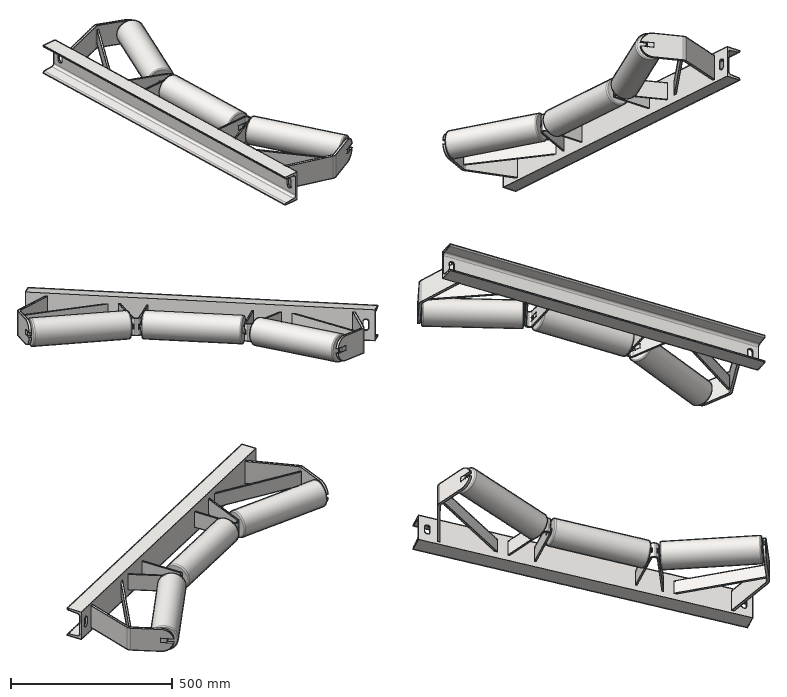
import cadquery as cq
import math


channel_length = 1100.0
channel_height = 100.0
channel_depth = 50.0
web_thickness = 6.0
flange_thickness = 8.5
flange_slope = 0.08
root_radius = 8.5
toe_radius = 4.25
mount_slot_x = 521.0
mount_slot_width = 18.0
mount_slot_length = 36.0

roller_diameter = 89.0
roller_length = 315.0
roller_edge_radius = 4.0
shaft_diameter = 25.0
tongue_width = 15.0
tongue_height = 20.0
trough_angle = 25.0
center_axis_y = 167.0
wing_center = (345.2, 242.9)

outer_width = 80.0
inner_width = 56.0
center_offset = 163.5
wing_offset = 162.2
inner_thickness = 5.0
inner_fold_y = 197.0
inner_fold_radius = 12.0
outer_thickness = 8.0
elbow_y = 215.0
tip_drop = 8.0
elbow_radius = 18.0
outer_foot_x = 484.0

center_far = center_offset + inner_thickness
wing_inner_far = wing_offset + inner_thickness
wing_outer_far = wing_offset + outer_thickness

brace_thickness = 6.0
brace_width = 50.0
brace_foot_x = 295.0
brace_lift = 7.0

web_face_y = channel_depth
trough = math.radians(trough_angle)
axis_dir = (math.cos(trough), math.sin(trough))
rise_dir = (-math.sin(trough), math.cos(trough))
slot_height = roller_diameter


def wing_point(along, across):
    """Point given by its distance along and across the right wing roller's axis."""
    return (
        wing_center[0] + along * axis_dir[0] + across * rise_dir[0],
        wing_center[1] + along * axis_dir[1] + across * rise_dir[1],
    )


def meet(p, p_dir, q, q_dir):
    """Crossing point of the line through p along p_dir and the line through q along q_dir."""
    cross = p_dir[0] * q_dir[1] - p_dir[1] * q_dir[0]
    t = ((q[0] - p[0]) * q_dir[1] - (q[1] - p[1]) * q_dir[0]) / cross
    return (p[0] + t * p_dir[0], p[1] + t * p_dir[1])


def at_height(p, p_dir, y):
    """Point at height y on the line through p along p_dir."""
    return meet(p, p_dir, (0, y), (1, 0))


def plate(outline, width):
    """Extrude an XY outline over the given width, centred on Z = 0."""
    return cq.Workplane("XY").workplane(offset=-width / 2).polyline(outline).close().extrude(width)


def on_wing(body):
    """Move a body built about the X axis at the origin onto the right wing roller axis."""
    return body.rotate((0, 0, 0), (0, 0, 1), trough_angle).translate((*wing_center, 0))


def round_bend(body, x, y, radius):
    """Round the bend edge that runs along Z through (x, y)."""
    return body.edges(cq.selectors.NearestToPointSelector((x, y, 0))).fillet(radius)


def both_sides(body):
    """The right-hand body and its mirror image on the left."""
    return [body.val(), body.mirror("YZ").val()]


def tongue_slot(start, end):
    """Open-topped slot along X that seats a shaft tongue and runs out towards +Y."""
    depth = tongue_height / 2 + slot_height
    return (
        cq.Workplane("YZ").workplane(offset=start)
        .center(depth / 2 - tongue_height / 2, 0).rect(depth, tongue_width).extrude(end - start)
    )


def make_channel():
    """Channel with tapered flanges pointing to -Y and a mounting slot near each end of the web."""
    half = channel_height / 2
    mid_flange = channel_depth / 2
    tip_z = half - flange_thickness + mid_flange * flange_slope
    web_inner_y = channel_depth - web_thickness
    root_z = tip_z - web_inner_y * flange_slope
    profile = [
        (0, half), (channel_depth, half), (channel_depth, -half), (0, -half),
        (0, -tip_z), (web_inner_y, -root_z), (web_inner_y, root_z), (0, tip_z),
    ]
    body = (
        cq.Workplane("YZ").workplane(offset=-channel_length / 2)
        .polyline(profile).close().extrude(channel_length)
    )
    for side in (1, -1):
        root = cq.selectors.NearestToPointSelector((0, web_inner_y, side * root_z))
        body = body.edges(root).fillet(root_radius)
        toe = cq.selectors.NearestToPointSelector((0, 0, side * tip_z))
        body = body.edges(toe).fillet(toe_radius)
    slots = (
        cq.Workplane("XZ").pushPoints([(-mount_slot_x, 0), (mount_slot_x, 0)])
        .slot2D(mount_slot_length, mount_slot_width, 90).extrude(-channel_depth)
    )
    return body.cut(slots)


def make_roller(left_face, left_end, right_face, right_end):
    """Roller about the X axis; its shaft narrows to a tongue at each plate face."""
    shell = (
        cq.Workplane("YZ").workplane(offset=-roller_length / 2)
        .circle(roller_diameter / 2).extrude(roller_length)
        .faces("<X or >X").edges().fillet(roller_edge_radius)
    )
    shaft = (
        cq.Workplane("YZ").workplane(offset=left_face)
        .circle(shaft_diameter / 2).extrude(right_face - left_face)
    )
    tongues = (
        cq.Workplane("YZ").workplane(offset=left_end)
        .rect(tongue_height, tongue_width).extrude(right_end - left_end)
    )
    return shell.union(shaft).union(tongues)


def make_inner_bracket():
    """Folded sheet between the centre roller and the right wing roller."""
    near = wing_point(-wing_offset, 0)
    far = wing_point(-wing_inner_far, 0)
    under_fold_y = inner_fold_y - inner_thickness
    wing_corner = at_height(near, rise_dir, inner_fold_y)
    under_corner = at_height(far, rise_dir, under_fold_y)
    outline = [
        (center_offset, web_face_y), (center_offset, inner_fold_y), wing_corner,
        at_height(near, rise_dir, web_face_y), at_height(far, rise_dir, web_face_y),
        under_corner, (center_far, under_fold_y), (center_far, web_face_y),
    ]
    body = plate(outline, inner_width)
    under_radius = inner_fold_radius - inner_thickness
    body = round_bend(body, center_offset, inner_fold_y, inner_fold_radius)
    body = round_bend(body, *wing_corner, inner_fold_radius)
    body = round_bend(body, center_far, under_fold_y, under_radius)
    body = round_bend(body, *under_corner, under_radius)
    center_slot = tongue_slot(center_offset, center_far).translate((0, center_axis_y, 0))
    wing_slot = on_wing(tongue_slot(-wing_inner_far, -wing_offset))
    return body.cut(center_slot).cut(wing_slot)


elbow = at_height(wing_point((wing_offset + wing_outer_far) / 2, 0), rise_dir, elbow_y)
leg_vector = (outer_foot_x - elbow[0], web_face_y - elbow[1])
leg_size = math.hypot(*leg_vector)
leg_dir = (leg_vector[0] / leg_size, leg_vector[1] / leg_size)
leg_foot_half = outer_thickness / 2 / abs(leg_dir[1])
leg_inner_foot = (outer_foot_x - leg_foot_half, web_face_y)
leg_outer_foot = (outer_foot_x + leg_foot_half, web_face_y)
elbow_inner = meet(leg_inner_foot, leg_dir, wing_point(wing_offset, 0), rise_dir)
elbow_outer = meet(leg_outer_foot, leg_dir, wing_point(wing_outer_far, 0), rise_dir)


def make_outer_bracket():
    """Bent plate that carries the outer end of the right wing roller."""
    tip_radius = outer_width / 2
    tip = tip_radius - tip_drop
    outline = [
        leg_inner_foot, elbow_inner, wing_point(wing_offset, tip),
        wing_point(wing_outer_far, tip), elbow_outer, leg_outer_foot,
    ]
    body = plate(outline, outer_width)
    body = round_bend(body, *elbow_outer, elbow_radius)
    body = round_bend(body, *elbow_inner, elbow_radius - outer_thickness)
    reach = channel_length
    below_tip = cq.Workplane("XY").box(reach, reach, outer_width)
    below_tip = below_tip.translate((0, -reach / 2 - tip_drop, 0))
    round_tip = cq.Workplane("YZ").center(-tip_drop, 0).circle(tip_radius).extrude(reach / 2, both=True)
    body = body.intersect(on_wing(below_tip.union(round_tip)))
    return body.cut(on_wing(tongue_slot(wing_offset, wing_outer_far)))


def make_brace(bracket):
    """Flat strip from the web to the inside of the outer bracket's elbow."""
    top = (elbow[0], elbow[1] + brace_lift)
    run = (top[0] - brace_foot_x, top[1] - web_face_y)
    foot_half = brace_thickness / 2 * math.hypot(*run) / run[1]
    outline = [
        (brace_foot_x - foot_half, web_face_y), (brace_foot_x + foot_half, web_face_y),
        (top[0] + foot_half, top[1]), (top[0] - foot_half, top[1]),
    ]
    trimmed = plate(outline, brace_width).cut(bracket)
    return trimmed.solids(cq.selectors.NearestToPointSelector((brace_foot_x, web_face_y, 0)))


channel = make_channel()
center_roller = make_roller(-center_offset, -center_far, center_offset, center_far)
center_roller = center_roller.translate((0, center_axis_y, 0))
wing_roller = on_wing(make_roller(-wing_offset, -wing_inner_far, wing_offset, wing_outer_far))
inner_bracket = make_inner_bracket()
outer_bracket = make_outer_bracket()
brace = make_brace(outer_bracket)

result = cq.Compound.makeCompound([
    channel.val(),
    center_roller.val(),
    *both_sides(wing_roller),
    *both_sides(inner_bracket),
    *both_sides(outer_bracket),
    *both_sides(brace),
])